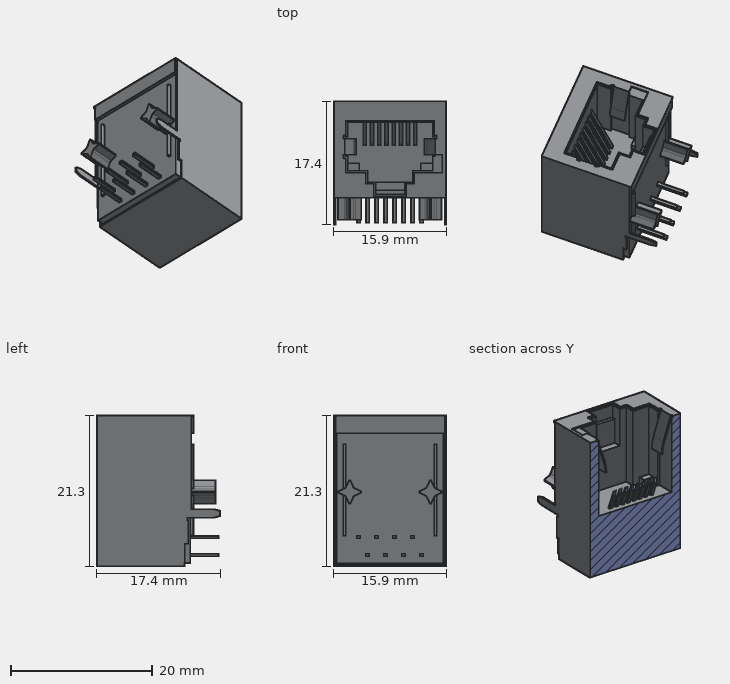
import cadquery as cq
import math


WIDTH = 15.88
HEIGHT = 13.66
LENGTH = 21.34
SHEET = 0.22
SHIELD_EDGE_Y = 0.30
SHIELD_MID_Y = 0.72
SHIELD_REAR_Y = 1.24
SHIELD_REAR_Z = -18.15
RELIEF_Y = 0.91
RELIEF_LENGTH = 0.34

FLANGE_LENGTH = 2.52
BASE_Y = 0.44
BASE_WIDTH = 15.10
BASE_REAR_Z = -20.88
GAP_TOP_Y = 1.70

TAB_FRONT_Z = -13.24
TAB_REAR_Z = -14.48
TAB_END_Y = -3.78
TAB_TAPER_LENGTH = 0.90
TAB_TAPER_INSET = 0.25

RIB_X = 6.43
RIB_RADIUS = 0.185
RIB_FRONT_Z = -4.09
RIB_REAR_Z = -17.00

PEG_X = 5.715
PEG_Z = -10.83
PEG_END_Y = -3.13
PEG_REACH = 1.67
PEG_NARROW_REACH = 1.59
PEG_TIP_HALF = 0.08
PEG_FLANK_NEAR = 0.48
PEG_FLANK_FAR = 0.78
PEG_VALLEY = 0.60

TAIL_PITCH = 2.54
TAILS_PER_ROW = 4
TAIL_WIDTH = 0.50
TAIL_THICKNESS = 0.36
TAIL_END_Y = -3.56
TAIL_FRONT_Z = -17.20
TAIL_ROW_SHIFT = TAIL_PITCH / 4

OPENING_TOP_Y = 10.70
MAIN_HALF, MAIN_FLOOR_Y = 6.00, 3.80
STEP_HALF, STEP_FLOOR_Y = 3.19, 2.21
LATCH_HALF, LATCH_FLOOR_Y = 2.05, 0.47
CAVITY_DEPTH = 12.00
LATCH_MID_Y = 1.05
LATCH_DEPTH = 6.00
LATCH_FRONT_DEPTH = 2.20
CORNER_BLOCK_WIDTH = 1.67
CORNER_BLOCK_HEIGHT = 1.08
CORNER_BLOCK_LENGTH = 1.00

SHIELD_CLEARANCE = 0.25
SHIELD_TOP_CLEARANCE = 0.20

SPRING_TOP_Y = 8.37
SPRING_LOW_Y = 6.08
SLOT_HALF = 6.35
SLOT_TOP_Y = 8.66
SLOT_LOW_Y = 5.90
NOTCH_HALF = 6.61
NOTCH_TOP_Y = 8.88
NOTCH_LOW_Y = 5.54
NOTCH_RADIUS = 0.25
WINDOW_X = 7.38
SPRING_ROOT_X = 6.42
SPRING_BEND_X, SPRING_BEND_Z = 5.15, -3.80
SPRING_NOSE_X, SPRING_NOSE_Z = 4.91, -4.76
SPRING_END_X, SPRING_END_Z = 4.82, -5.70

CONTACT_COUNT = 8
CONTACT_PITCH = 1.02
CONTACT_WIDTH = 0.46
CONTACT_THICKNESS = 0.35
CONTACT_TOP_Z = -3.50
CONTACT_END_Y = 7.37

OVERLAP = 0.10


def box(x0, x1, y0, y1, z0, z1):
    """Box between opposite corners, given in any order."""
    size = (abs(x1 - x0), abs(y1 - y0), abs(z1 - z0))
    low = (min(x0, x1), min(y0, y1), min(z0, z1))
    return cq.Workplane("XY").box(*size, centered=False).translate(low)


def mirrored(half):
    return half.union(half.mirror("YZ"))


def shield_opening():
    """Plug-shaped opening in the shield face: main opening, step and latch slot."""
    top = OPENING_TOP_Y + SHIELD_TOP_CLEARANCE
    opening = cq.Workplane("XY")
    for half, floor in ((MAIN_HALF, MAIN_FLOOR_Y), (STEP_HALF, STEP_FLOOR_Y), (LATCH_HALF, LATCH_FLOOR_Y)):
        wide = half + SHIELD_CLEARANCE
        opening = opening.add(box(-wide, wide, floor - SHIELD_CLEARANCE, top, -SHEET, 0))
    return opening.combine()


def make_body():
    """Shield and housing as one block, with the open gap between them underneath."""
    half = WIDTH / 2
    inner = half - SHEET
    body = box(-half, half, 0, HEIGHT, -LENGTH, 0)
    body = body.cut(box(-half, half, 0, SHIELD_REAR_Y, -LENGTH, SHIELD_REAR_Z))
    body = body.cut(box(-inner, inner, 0, GAP_TOP_Y, -LENGTH + SHEET, -FLANGE_LENGTH))
    sides = box(inner, half, 0, SHIELD_EDGE_Y, -LENGTH, -SHEET)
    sides = sides.union(box(inner, half, 0, SHIELD_MID_Y, SHIELD_REAR_Z, TAB_REAR_Z))
    relief = box(inner, half, 0, RELIEF_Y, TAB_REAR_Z - RELIEF_LENGTH, TAB_REAR_Z)
    body = body.cut(mirrored(sides.union(relief)))
    base_half = BASE_WIDTH / 2
    base = box(-base_half, base_half, BASE_Y, GAP_TOP_Y + OVERLAP, BASE_REAR_Z, -FLANGE_LENGTH + OVERLAP)
    return body.union(base)


def cut_cavity(body):
    """Plug cavity in the housing, behind the larger opening in the shield face."""
    cavity = box(-MAIN_HALF, MAIN_HALF, MAIN_FLOOR_Y, OPENING_TOP_Y, -CAVITY_DEPTH, 0)
    cavity = cavity.union(box(-STEP_HALF, STEP_HALF, STEP_FLOOR_Y, OPENING_TOP_Y, -CAVITY_DEPTH, 0))
    block_top = MAIN_FLOOR_Y + CORNER_BLOCK_HEIGHT
    block_z = -CAVITY_DEPTH + CORNER_BLOCK_LENGTH
    block_x = MAIN_HALF - CORNER_BLOCK_WIDTH
    cavity = cavity.cut(mirrored(box(block_x, MAIN_HALF, MAIN_FLOOR_Y, block_top, -CAVITY_DEPTH, block_z)))
    cavity = cavity.union(box(-LATCH_HALF, LATCH_HALF, LATCH_MID_Y, STEP_FLOOR_Y, -LATCH_DEPTH, 0))
    cavity = cavity.union(box(-LATCH_HALF, LATCH_HALF, LATCH_FLOOR_Y, STEP_FLOOR_Y, -LATCH_FRONT_DEPTH, 0))
    cavity = cavity.union(box(-SLOT_HALF, SLOT_HALF, SLOT_LOW_Y, SLOT_TOP_Y, -CAVITY_DEPTH, 0))

    opening = shield_opening()
    notch = box(-NOTCH_HALF, NOTCH_HALF, NOTCH_LOW_Y, NOTCH_TOP_Y, -SHEET, 0).edges("|Z").fillet(NOTCH_RADIUS)
    spring_root = mirrored(box(SPRING_ROOT_X, WIDTH / 2, SPRING_LOW_Y, SPRING_TOP_Y, -SHEET, 0))
    window = box(0, WINDOW_X, MAIN_FLOOR_Y - SHIELD_CLEARANCE, SPRING_LOW_Y, -SHEET, 0)
    opening = opening.union(notch.cut(spring_root)).union(window)
    return body.cut(cavity).cut(opening)


def make_springs():
    """Side springs folded inwards from the shield face, with a rounded nose."""
    profile = (
        cq.Workplane("XZ", origin=(0, SPRING_TOP_Y, 0))
        .moveTo(SPRING_ROOT_X, 0)
        .lineTo(SPRING_BEND_X, SPRING_BEND_Z)
        .threePointArc((SPRING_NOSE_X, SPRING_NOSE_Z), (SPRING_END_X, SPRING_END_Z))
        .lineTo(SPRING_END_X + SHEET, SPRING_END_Z)
        .threePointArc((SPRING_NOSE_X + SHEET, SPRING_NOSE_Z), (SPRING_BEND_X + SHEET, SPRING_BEND_Z))
        .lineTo(SPRING_ROOT_X + SHEET, -SHEET)
        .lineTo(SPRING_ROOT_X + SHEET, 0)
        .close()
    )
    return mirrored(profile.extrude(SPRING_TOP_Y - SPRING_LOW_Y))


def make_contacts():
    """Row of contacts sloping from the cavity wall down to the cavity floor."""
    wall_y = OPENING_TOP_Y + OVERLAP
    end_z = -CAVITY_DEPTH - OVERLAP
    slope = (CONTACT_TOP_Z - end_z) / (wall_y - CONTACT_END_Y)
    profile = [
        (wall_y, CONTACT_TOP_Z),
        (CONTACT_END_Y, end_z),
        (CONTACT_END_Y + CONTACT_THICKNESS, end_z),
        (wall_y, CONTACT_TOP_Z - CONTACT_THICKNESS * slope),
    ]
    contact = cq.Workplane("YZ").polyline(profile).close().extrude(CONTACT_WIDTH / 2, both=True)
    first_x = -CONTACT_PITCH * (CONTACT_COUNT - 1) / 2
    contacts = cq.Workplane("XY")
    for index in range(CONTACT_COUNT):
        contacts = contacts.add(contact.translate((first_x + index * CONTACT_PITCH, 0, 0)))
    return contacts.combine()


def make_ground_tabs():
    """Tapered solder tabs continuing the shield sides below the board plane."""
    taper_y = TAB_END_Y + TAB_TAPER_LENGTH
    outline = [
        (RELIEF_Y, TAB_FRONT_Z),
        (taper_y, TAB_FRONT_Z),
        (TAB_END_Y, TAB_FRONT_Z - TAB_TAPER_INSET),
        (TAB_END_Y, TAB_REAR_Z + TAB_TAPER_INSET),
        (taper_y, TAB_REAR_Z),
        (RELIEF_Y, TAB_REAR_Z),
    ]
    sheet = cq.Workplane("YZ", origin=(WIDTH / 2, 0, 0)).polyline(outline).close().extrude(-SHEET)
    return mirrored(sheet)


def make_ribs():
    """Round-topped standoff ribs along both sides of the underside."""
    length = RIB_FRONT_Z - RIB_REAR_Z
    rib = box(RIB_X - RIB_RADIUS, RIB_X + RIB_RADIUS, RIB_RADIUS, BASE_Y + OVERLAP, RIB_REAR_Z, RIB_FRONT_Z)
    crown = cq.Workplane("XY", origin=(RIB_X, RIB_RADIUS, RIB_REAR_Z)).circle(RIB_RADIUS).extrude(length)
    return mirrored(rib.union(crown))


def quarter_turned(quarter, x, z):
    """Point (x, z) turned about the origin by a number of quarter turns."""
    angle = quarter * math.pi / 2
    return (x * math.cos(angle) - z * math.sin(angle), x * math.sin(angle) + z * math.cos(angle))


def make_peg(center_x, side_reach):
    """Star-shaped peg with straight arm flanks and rounded valleys."""
    root_y = BASE_Y + OVERLAP
    outline = cq.Workplane("XZ", origin=(center_x, root_y, PEG_Z)).moveTo(side_reach, -PEG_TIP_HALF)
    for quarter in range(4):
        reach, next_reach = (PEG_REACH, side_reach) if quarter % 2 else (side_reach, PEG_REACH)
        outline = (
            outline.lineTo(*quarter_turned(quarter, reach, PEG_TIP_HALF))
            .lineTo(*quarter_turned(quarter, PEG_FLANK_FAR, PEG_FLANK_NEAR))
            .threePointArc(
                quarter_turned(quarter, PEG_VALLEY, PEG_VALLEY),
                quarter_turned(quarter, PEG_FLANK_NEAR, PEG_FLANK_FAR),
            )
            .lineTo(*quarter_turned(quarter, PEG_TIP_HALF, next_reach))
        )
    return outline.close().extrude(root_y - PEG_END_Y)


def make_tails():
    """Two staggered rows of solder tails."""
    tails = cq.Workplane("XY")
    for row, shift in enumerate((-TAIL_ROW_SHIFT, TAIL_ROW_SHIFT)):
        z = TAIL_FRONT_Z - row * TAIL_PITCH
        for index in range(TAILS_PER_ROW):
            x = (index - (TAILS_PER_ROW - 1) / 2) * TAIL_PITCH + shift
            tails = tails.add(
                box(x - TAIL_WIDTH / 2, x + TAIL_WIDTH / 2, TAIL_END_Y, BASE_Y + OVERLAP,
                    z - TAIL_THICKNESS / 2, z + TAIL_THICKNESS / 2)
            )
    return tails.combine()


result = cut_cavity(make_body())
features = (
    make_springs(),
    make_contacts(),
    make_ground_tabs(),
    make_ribs(),
    make_peg(-PEG_X, PEG_REACH),
    make_peg(PEG_X, PEG_NARROW_REACH),
    make_tails(),
)
for feature in features:
    result = result.union(feature)